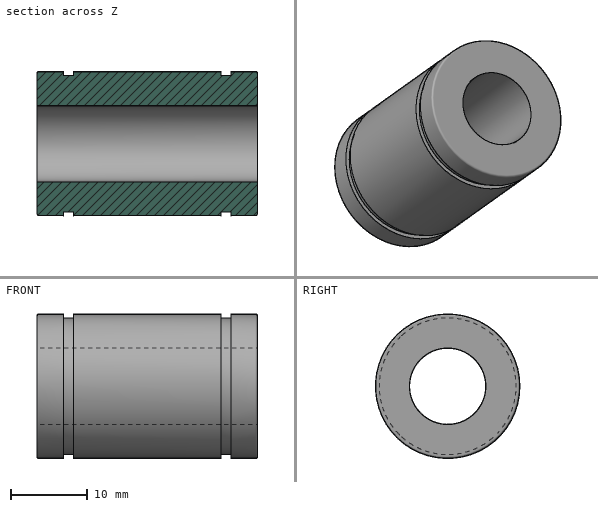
import cadquery as cq

length = 29.0
outer_diameter = 19.0
bore_diameter = 10.0

groove_diameter = 18.0
groove_width = 1.3
groove_outer_span = 22.0

edge_fillet = 0.25


def cylinder_along_x(diameter, start_x, cylinder_length):
    """Solid cylinder on the X axis, growing toward +X from start_x."""
    start_plane = cq.Workplane("YZ", origin=(start_x, 0, 0))
    return start_plane.circle(diameter / 2).extrude(cylinder_length)


def groove_cutter(start_x):
    """Ring that cuts one retaining-ring groove."""
    blank = cylinder_along_x(outer_diameter, start_x, groove_width)
    return blank.cut(cylinder_along_x(groove_diameter, start_x, groove_width))


sleeve = cylinder_along_x(outer_diameter, -length / 2, length)
sleeve = sleeve.faces("<X or >X").edges().fillet(edge_fillet)

sleeve = sleeve.cut(cylinder_along_x(bore_diameter, -length / 2, length))

groove_starts = (-groove_outer_span / 2, groove_outer_span / 2 - groove_width)
for groove_start in groove_starts:
    sleeve = sleeve.cut(groove_cutter(groove_start))

result = sleeve